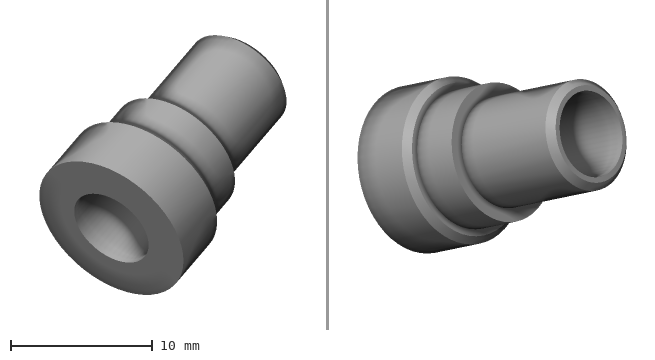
import cadquery as cq

total_length = 17.5
head_length = 5.0
collar_length = 3.5
shank_length = total_length - head_length - collar_length

head_diameter = 12.0
collar_diameter = 10.0
shank_diameter = 8.0
bore_diameter = 6.2
edge_chamfer = 0.5


def cylinder_along_y(diameter, start, length):
    """Solid cylinder running from Y = start towards +Y."""
    return cq.Workplane("XZ").workplane(offset=-start).circle(diameter / 2).extrude(-length)


head = cylinder_along_y(head_diameter, 0, head_length).faces(">Y").chamfer(edge_chamfer)
collar = cylinder_along_y(collar_diameter, head_length, collar_length)
shank = cylinder_along_y(shank_diameter, head_length + collar_length, shank_length)
shank = shank.faces(">Y").chamfer(edge_chamfer)

bore = cylinder_along_y(bore_diameter, 0, total_length)

result = head.union(collar).union(shank).cut(bore)